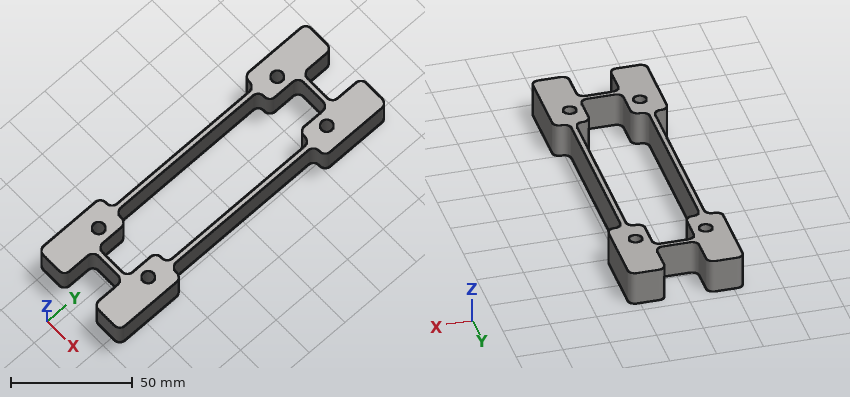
import cadquery as cq

length = 150.0
width = 49.0
height = 15.0

pad_width = 15.6
pad_length = 35.0
corner_radius = 3.0

wall_thickness = 2.4
side_wall_spacing = 33.5
cross_wall_inset = 17.5

hole_diameter = 5.5
hole_spacing_x = 30.0
hole_spacing_y = 100.0

pad_spacing_x = width - pad_width
pad_spacing_y = length - pad_length
cross_wall_spacing = length - 2 * cross_wall_inset


def blocks(size_x, size_y, spacing_x, spacing_y):
    """Full-height blocks centred on the points spaced symmetrically about the origin."""
    centres = {(sx * spacing_x / 2, sy * spacing_y / 2) for sx in (-1, 1) for sy in (-1, 1)}
    return cq.Workplane("XY").pushPoints(sorted(centres)).rect(size_x, size_y).extrude(height)


pads = blocks(pad_width, pad_length, pad_spacing_x, pad_spacing_y)
side_walls = blocks(wall_thickness, pad_spacing_y, side_wall_spacing, 0)
cross_walls = blocks(pad_spacing_x, wall_thickness, 0, cross_wall_spacing)

frame = pads.union(side_walls).union(cross_walls)
frame = frame.edges("|Z").fillet(corner_radius)

result = (
    frame.faces(">Z").workplane(origin=(0, 0, height))
    .rect(hole_spacing_x, hole_spacing_y, forConstruction=True)
    .vertices()
    .hole(hole_diameter)
)